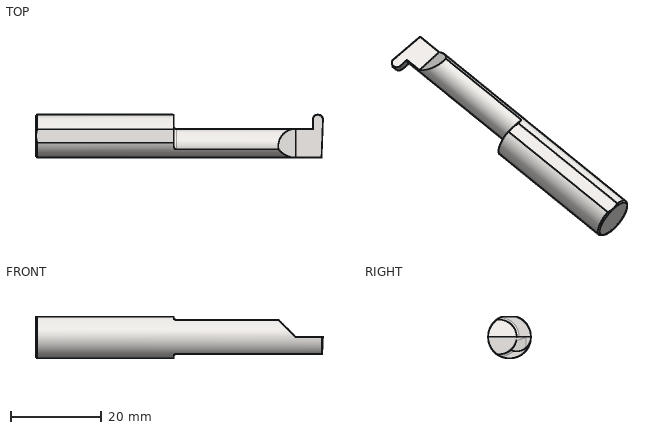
import cadquery as cq

length = 63.5
shank_radius = 4.75
shank_length = 30.5
shank_flat_height = 4.5
end_chamfer = 0.3

neck_radius = 3.8
neck_center_y = -2.2
neck_fillet = 0.5
neck_outer_y = neck_center_y - neck_radius

head_start = 57.4
rake_z = 0.0
nib_width = 2.3
nib_tip_radius = nib_width / 2
nib_clearance_radius = 3.2
nib_root_y = 0.0
nib_taper = 6.0
front_relief = 0.2
heel_relief = 0.3


def cylinder(radius, start, end):
    return cq.Workplane("YZ").workplane(offset=start).circle(radius).extrude(end - start)


def make_shank():
    shank = cylinder(shank_radius, 0, shank_length).faces("<X").chamfer(end_chamfer)
    flat_cut = cq.Workplane("XY").box(
        shank_length, 2 * shank_radius, shank_radius, centered=(False, True, False)
    ).translate((0, 0, shank_flat_height))
    return shank.cut(flat_cut)


def make_neck():
    """Neck cylinder whose root flares into the shank shoulder."""
    fillet_end = shank_length + neck_fillet
    profile = (
        cq.Workplane("XY")
        .moveTo(shank_length, neck_center_y)
        .lineTo(shank_length, neck_outer_y - neck_fillet)
        .radiusArc((fillet_end, neck_outer_y), neck_fillet)
        .lineTo(length, neck_outer_y)
        .lineTo(length, neck_center_y)
        .close()
    )
    neck = profile.revolve(360, (0, neck_center_y, 0), (1, neck_center_y, 0))
    return neck.intersect(cylinder(shank_radius, shank_length, length))


def make_nib():
    """Round-tipped cutting nib with a round clearance surface under its tip."""
    tip_center_y = shank_radius - nib_tip_radius
    nib_start = length - nib_width
    nib = (
        cq.Workplane("XY")
        .workplane(offset=rake_z)
        .moveTo(nib_start, nib_root_y)
        .lineTo(length, nib_root_y)
        .lineTo(length, tip_center_y)
        .threePointArc((length - nib_tip_radius, shank_radius), (nib_start, tip_center_y))
        .close()
        .extrude(-(neck_radius + rake_z), taper=nib_taper)
    )
    clearance = cylinder(nib_clearance_radius, nib_start, length)
    return nib.intersect(clearance.translate((0, shank_radius - nib_clearance_radius, 0)))


def make_rake_cut():
    """Space above the rake face, with a 45 degree run-out into the neck."""
    rise = 2 * shank_radius
    return (
        cq.Workplane("XZ")
        .moveTo(head_start, rake_z)
        .lineTo(length, rake_z)
        .lineTo(length, rake_z + rise)
        .lineTo(head_start - rise, rake_z + rise)
        .close()
        .extrude(shank_radius, both=True)
    )


def make_front_relief_cut():
    """Wedge that leans the end face back below the cutting edge."""
    return (
        cq.Workplane("XZ")
        .moveTo(length, rake_z)
        .lineTo(length, -neck_radius)
        .lineTo(length - front_relief, -neck_radius)
        .close()
        .extrude(shank_radius, both=True)
    )


def make_heel_cut():
    """Wedge that leans the end face back from the nib towards the heel."""
    return (
        cq.Workplane("XY")
        .moveTo(length, shank_radius - nib_tip_radius)
        .lineTo(length, -shank_radius)
        .lineTo(length - heel_relief, -shank_radius)
        .close()
        .extrude(shank_radius, both=True)
    )


result = (
    make_shank()
    .union(make_neck().cut(make_rake_cut()))
    .union(make_nib())
    .cut(make_front_relief_cut())
    .cut(make_heel_cut())
)